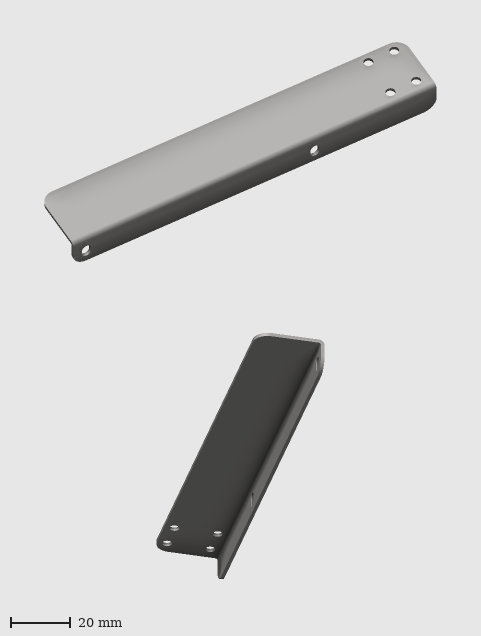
import cadquery as cq

length = 140.0
plate_width = 23.5
flange_height = 11.5
thickness = 1.3
inner_bend_radius = 0.7
outer_bend_radius = inner_bend_radius + thickness
corner_radius = 5.0

hole_diameter = 3.4
hole_edge_offset = 3.5
hole_end_offset = 5.0
hole_spacing_x = 15.0
hole_spacing_y = 10.0

slot_width = 3.4
slot_height = 5.0
slot_depth_below_top = 6.5
slot_end_offset = 5.0
slot_spacing = 88.0

half_length = length / 2
flange_inner_x = plate_width - thickness


def make_angle():
    """Plate along X with a flange folded down at its +X side."""
    outer = (
        cq.Workplane("XY")
        .box(plate_width, length, flange_height, centered=(False, True, False))
        .translate((0, 0, -flange_height))
        .edges("|Y and >X and >Z")
        .fillet(outer_bend_radius)
    )
    inside = (
        cq.Workplane("XY")
        .box(flange_inner_x, length, flange_height - thickness, centered=(False, True, False))
        .translate((0, 0, -flange_height))
        .edges("|Y and >X and >Z")
        .fillet(inner_bend_radius)
    )
    return outer.cut(inside)


def round_free_corners(angle):
    """Round both free corners of the plate and of the flange."""
    rounded_plate = angle.edges("|Z and <X").fillet(corner_radius)
    return rounded_plate.edges("|X and <Z").fillet(corner_radius)


def make_plate_holes():
    center_x = hole_edge_offset + hole_spacing_x / 2
    center_y = half_length - hole_end_offset - hole_spacing_y / 2
    return (
        cq.Workplane("XY")
        .center(center_x, center_y)
        .rarray(hole_spacing_x, hole_spacing_y, 2, 2)
        .circle(hole_diameter / 2)
        .extrude(-thickness)
    )


def make_flange_slots():
    first_y = -half_length + slot_end_offset
    slot_centers = [(first_y + i * slot_spacing, -slot_depth_below_top) for i in range(2)]
    return (
        cq.Workplane("YZ", origin=(flange_inner_x, 0, 0))
        .pushPoints(slot_centers)
        .slot2D(slot_height, slot_width, 90)
        .extrude(thickness)
    )


result = round_free_corners(make_angle()).cut(make_plate_holes()).cut(make_flange_slots())